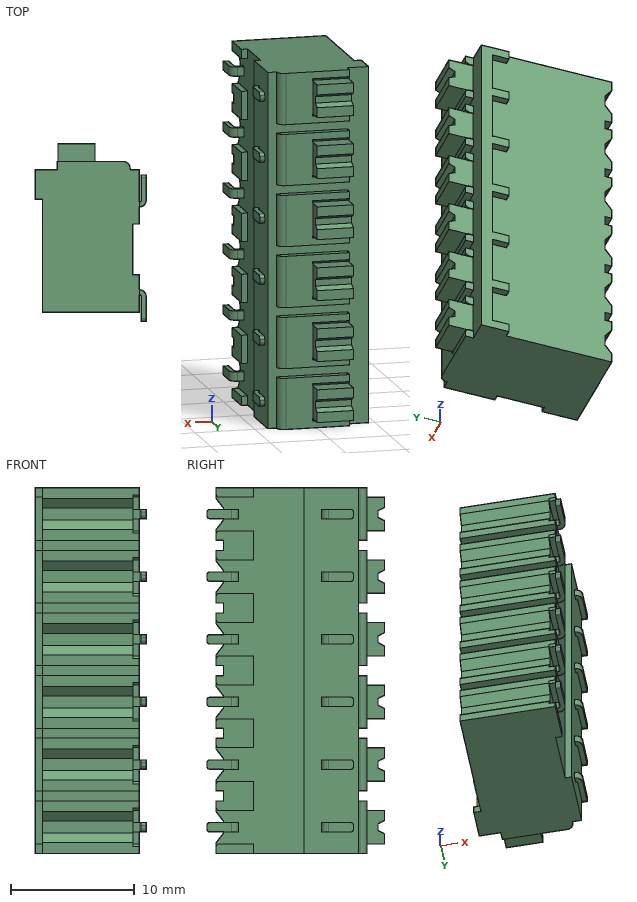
import cadquery as cq


height = 29.6
pole_count = 6
pole_height = 4.25
pitch = (height - pole_height) / (pole_count - 1)
gap_height = pitch - pole_height
pole_centers = [(i - (pole_count - 1) / 2) * pitch for i in range(pole_count)]
gap_centers = [z + pitch / 2 for z in pole_centers[:-1]]

wall_x = 0.6
housing_x = 8.45
front_y = 0.75
flange_y = 12.28
rib_start_x = 1.78
rib_end_x = 7.7
rib_y = 12.95
rib_round = 0.6

flange_strip_y = 11.3
flange_tab_y = 9.9
end_tab_height = 0.77

groove_depth = 0.6
groove_mouth = 2.52
groove_floor = 0.98

slot_x = 7.9
slot_front_y = 3.8
slot_back_y = 7.87
pocket_mouth = 3.1
pocket_width = 2.72
pocket_lip_depth = 0.15

block_start_x = 1.85
block_end_x = 4.85
block_y = 14.4
block_height = 2.72
notch_depth = 0.53
notch_mouth = 1.07
notch_floor = 0.53
funnel_mouth = 3.1
funnel_depth = 0.27

pin_end_x = 9.0
pin_thickness = 0.4
pin_height = 0.77
pin_tip_round = 0.25
pin_inner_bend = 0.15
front_pin_tip_y = 0.0
front_pin_root_y = 2.58
rear_pin_tip_y = 11.87
rear_pin_root_y = 9.25


def box(x0, x1, y0, y1, z_center, z_height):
    """Box between two X and two Y positions, centred on a Z position."""
    return (
        cq.Workplane("XY")
        .box(x1 - x0, y1 - y0, z_height, centered=(False, False, True))
        .translate((x0, y0, z_center))
    )


def taper(x0, x1, y_mouth, y_floor, mouth, floor, z_center):
    """Trapezoidal bar along X, as wide as the mouth at one Y and the floor at the other."""
    corners = [
        (y_mouth, z_center - mouth / 2),
        (y_floor, z_center - floor / 2),
        (y_floor, z_center + floor / 2),
        (y_mouth, z_center + mouth / 2),
    ]
    return cq.Workplane("YZ", origin=(x0, 0, 0)).polyline(corners).close().extrude(x1 - x0)


def make_housing():
    """Full-height housing with its rear raised part and the slot on the +X side."""
    body = box(wall_x, housing_x, front_y, flange_y, 0, height)
    raised = box(rib_start_x, rib_end_x, flange_y, rib_y, 0, height)
    raised = raised.edges("|Z and >X and >Y").fillet(rib_round)
    slot = box(slot_x, housing_x, slot_front_y, slot_back_y, 0, height)
    return body.union(raised).cut(slot)


def make_flange():
    """Raised strip on the -X side with tabs at both ends and between the poles."""
    flange = box(0, wall_x, flange_strip_y, flange_y, 0, height)
    end_z = (height - end_tab_height) / 2
    for z in (-end_z, end_z):
        flange = flange.union(box(0, wall_x, flange_tab_y, flange_y, z, end_tab_height))
    for z in gap_centers:
        flange = flange.union(box(0, wall_x, flange_tab_y, flange_y, z, gap_height))
    return flange


def make_gap(z):
    """Clearance between neighbouring poles at the front and the rear."""
    front = box(wall_x, housing_x, front_y, front_y + groove_depth, z, gap_height)
    rear = box(rib_start_x, rib_end_x, flange_y, rib_y, z, gap_height)
    return front.union(rear)


def make_pole_cuts(z):
    """Front groove, pin pocket opening into the slot, and rear block seat of one pole."""
    floor_y = front_y + groove_depth
    groove = taper(wall_x, housing_x, front_y, floor_y, groove_mouth, groove_floor, z)
    lip_y = front_y + pocket_lip_depth
    pocket_entry = taper(slot_x, housing_x, front_y, lip_y, pocket_mouth, pocket_width, z)
    pocket = box(slot_x, housing_x, lip_y, slot_front_y, z, pocket_width)
    funnel = taper(rib_start_x, block_end_x, rib_y, rib_y - funnel_depth, funnel_mouth, block_height, z)
    seat = box(rib_start_x, block_end_x, flange_y, rib_y - funnel_depth, z, block_height)
    return groove.union(pocket_entry).union(pocket).union(funnel).union(seat)


def make_block(z):
    """Rear plug block with a tapered notch along its outer face."""
    block = box(block_start_x, block_end_x, flange_y, block_y, z, block_height)
    notch = taper(
        block_start_x, block_end_x, block_y, block_y - notch_depth, notch_mouth, notch_floor, z
    )
    return block.cut(notch)


def make_pin(root_y, tip_y, z):
    """Pin leaving the housing along +X and bending towards its tip along Y."""
    direction = 1 if tip_y > root_y else -1
    length = abs(tip_y - root_y)
    inner_x = pin_end_x - pin_thickness
    foot = box(slot_x, pin_end_x, 0, pin_thickness, 0, pin_height)
    leg = box(inner_x, pin_end_x, 0, length, 0, pin_height)
    leg = leg.edges(">Y and |X").fillet(pin_tip_round)
    pin = foot.union(leg).edges("|Z and >X and <Y").fillet(pin_inner_bend + pin_thickness)
    inner_corner = cq.selectors.NearestToPointSelector((inner_x, pin_thickness, 0))
    pin = pin.edges(inner_corner).fillet(pin_inner_bend)
    if direction < 0:
        pin = pin.mirror("XZ")
    return pin.translate((0, root_y, z))


result = make_housing().union(make_flange())
for gap_z in gap_centers:
    result = result.cut(make_gap(gap_z))
for pole_z in pole_centers:
    result = result.cut(make_pole_cuts(pole_z))
    result = result.union(make_block(pole_z))
    result = result.union(make_pin(front_pin_root_y, front_pin_tip_y, pole_z))
    result = result.union(make_pin(rear_pin_root_y, rear_pin_tip_y, pole_z))